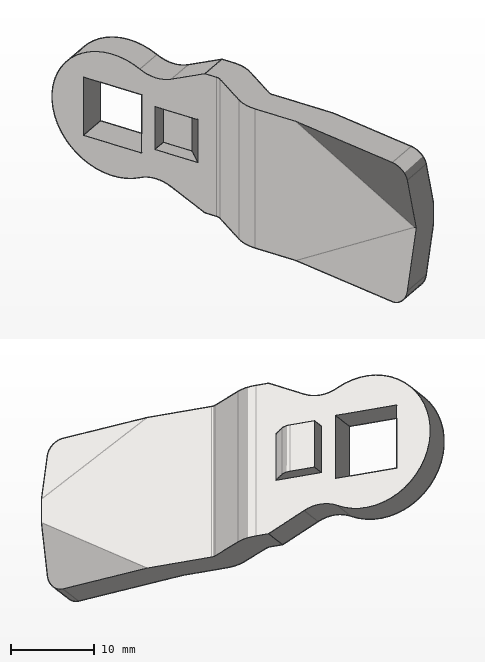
import cadquery as cq
import math

thickness = 4.0
length = 53.5
half_height = 9.75
hub_radius = 8.5
square_hole = 8.15
tip_x = length - hub_radius
tip_corner_radius = 2.0

neck_radius = 5.05
neck_center_x = 6.1
shoulder_x = 12.95

bend_start_x = 14.6
bend_angle = math.radians(34)
bend_inner_radius = 0.95
bend_outer_radius = bend_inner_radius + thickness

fold_start_front_x = 28.1
fold_start_back_x = 30.9
fold_run = 16.65
fold_drop = 2.6
fold_overrun = 1.1

stop_start_x = 5.95
stop_flat_end_x = 9.95
stop_end_x = 12.0
stop_width = 6.0
stop_height = 2.0
stop_crest_radius = 2.0


def outline():
    """Silhouette in the XZ plane, extruded through the full depth of the part."""
    center_distance = hub_radius + neck_radius
    neck_center_z = math.sqrt(center_distance**2 - neck_center_x**2)
    hub_tangent = (
        neck_center_x * hub_radius / center_distance,
        neck_center_z * hub_radius / center_distance,
    )
    dx = shoulder_x - neck_center_x
    dz = half_height - neck_center_z
    slope = math.atan2(dz, dx) + math.asin(neck_radius / math.hypot(dx, dz))
    neck_tangent = (
        neck_center_x + neck_radius * math.sin(slope),
        neck_center_z - neck_radius * math.cos(slope),
    )
    neck_bottom = (neck_center_x, neck_center_z - neck_radius)

    def below(point):
        return (point[0], -point[1])

    reach = 4 * thickness
    return (
        cq.Workplane("XZ")
        .moveTo(*hub_tangent)
        .threePointArc(neck_bottom, neck_tangent)
        .lineTo(shoulder_x, half_height)
        .lineTo(tip_x, half_height)
        .lineTo(tip_x, -half_height)
        .lineTo(shoulder_x, -half_height)
        .lineTo(*below(neck_tangent))
        .threePointArc(below(neck_bottom), below(hub_tangent))
        .threePointArc((-hub_radius, 0), hub_tangent)
        .close()
        .extrude(reach, both=True)
        .edges("|Y and >X")
        .fillet(tip_corner_radius)
    )


def bent_strip():
    """Constant-thickness strip with two equal and opposite bends."""
    radius_sum = bend_inner_radius + bend_outer_radius
    sine = math.sin(bend_angle)
    cosine = math.cos(bend_angle)
    ramp = (thickness - radius_sum * (1 - cosine)) / sine
    bend_end_x = bend_start_x + radius_sum * sine + ramp * cosine
    first_center = (bend_start_x, -bend_inner_radius)
    second_center = (bend_end_x, bend_inner_radius)

    def on_first(radius, angle):
        return (
            first_center[0] + radius * math.sin(angle),
            first_center[1] + radius * math.cos(angle),
        )

    def on_second(radius, angle):
        return (
            second_center[0] - radius * math.sin(angle),
            second_center[1] - radius * math.cos(angle),
        )

    half_angle = bend_angle / 2
    return (
        cq.Workplane("XY")
        .moveTo(-hub_radius, 0)
        .lineTo(*on_first(bend_inner_radius, 0))
        .threePointArc(on_first(bend_inner_radius, half_angle), on_first(bend_inner_radius, bend_angle))
        .lineTo(*on_second(bend_outer_radius, bend_angle))
        .threePointArc(on_second(bend_outer_radius, half_angle), on_second(bend_outer_radius, 0))
        .lineTo(tip_x, -thickness)
        .lineTo(tip_x, 0)
        .lineTo(*on_second(bend_inner_radius, 0))
        .threePointArc(on_second(bend_inner_radius, half_angle), on_second(bend_inner_radius, bend_angle))
        .lineTo(*on_first(bend_outer_radius, bend_angle))
        .threePointArc(on_first(bend_outer_radius, half_angle), on_first(bend_outer_radius, 0))
        .lineTo(-hub_radius, thickness)
        .close()
        .extrude(half_height, both=True)
    )


def fold_wedge(start_x, face_y, side):
    """Tetrahedron between a flat wing face and the folded corner plane."""
    end_x = start_x + fold_run * fold_overrun
    edge_z = side * half_height
    inner_z = edge_z * (1 - fold_overrun)
    start = cq.Vector(start_x, face_y, edge_z)
    inner = cq.Vector(end_x, face_y, inner_z)
    outer = cq.Vector(end_x, face_y, edge_z)
    dropped = cq.Vector(end_x, face_y - fold_drop * fold_overrun, edge_z)
    triangles = [
        (start, inner, outer),
        (start, inner, dropped),
        (start, outer, dropped),
        (inner, outer, dropped),
    ]
    faces = [cq.Face.makeFromWires(cq.Wire.makePolygon(points, close=True)) for points in triangles]
    return cq.Workplane(cq.Solid.makeSolid(cq.Shell.makeShell(faces)))


def stop_shape(base_y):
    """Block with one sloped end, standing on the given Y level."""
    return (
        cq.Workplane("XY")
        .polyline([
            (stop_start_x, base_y),
            (stop_end_x, base_y),
            (stop_flat_end_x, base_y + stop_height),
            (stop_start_x, base_y + stop_height),
        ])
        .close()
        .extrude(stop_width / 2, both=True)
    )


plate = bent_strip()
for side in (1, -1):
    plate = plate.union(fold_wedge(fold_start_front_x, -thickness, side))
for side in (1, -1):
    plate = plate.cut(fold_wedge(fold_start_back_x, 0, side))
plate = plate.intersect(outline())

stop = stop_shape(thickness).faces(">Y").edges(">X").fillet(stop_crest_radius)
hub_hole = cq.Workplane("XZ").rect(square_hole, square_hole).extrude(2 * thickness, both=True)
result = plate.cut(hub_hole).union(stop).cut(stop_shape(0))